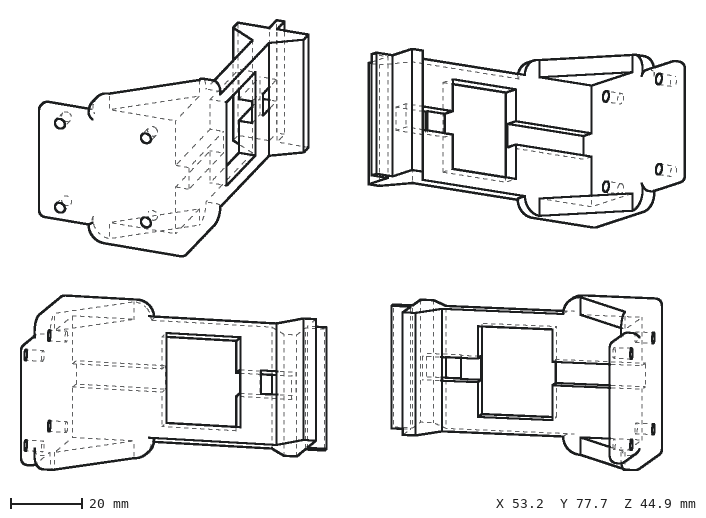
import cadquery as cq
import math

plate_length = 45.0
wall = 5.0
edge_radius = 2.0
half_width = 34.93 / 2

lobe_radius = wall
outer_half_width = half_width + lobe_radius
gusset_start = 20.0
gusset_top = 22.8
arm_inner = plate_length - wall

hole_diameter = 3.0
hole_spacing = 26.0
hole_first_x = 7.0

head_center_x = plate_length - wall / 2
head_half_length = 53.18 - head_center_x
head_start = 62.75
head_flank_start = 68.4
head_end = 72.1
tab_end = 77.65
tab_thickness = 2.4

window_start = 30.9
window_end = 52.4
window_half_width = 12.9
groove_bottom = -3.0
groove_top = 3.7
groove_depth = 4.0
slot_start = 58.3
slot_end = head_flank_start


def box(x_range, y_range, z_range):
    """Box spanning the given (low, high) ranges."""
    ranges = (x_range, y_range, z_range)
    sizes = [high - low for low, high in ranges]
    corner = tuple(low for low, high in ranges)
    return cq.Workplane("XY").box(*sizes, centered=False).translate(corner)


def narrow_plate():
    """Plate end, rounded on every edge except where it enters the corner."""
    plate = box((0, gusset_start + edge_radius), (0, wall), (-half_width, half_width))
    return plate.edges("|X or <X").fillet(edge_radius)


def lobed_slab(plane, outer_end, lobe_center):
    """Slab one wall thick from outer_end to lobe_center, ending in two half-round lobes."""
    lobe_tip = lobe_center + math.copysign(lobe_radius, lobe_center - outer_end)
    lobe_inner = half_width - lobe_radius
    return (
        cq.Workplane(plane)
        .moveTo(outer_end, -outer_half_width)
        .lineTo(lobe_center, -outer_half_width)
        .threePointArc((lobe_tip, -half_width), (lobe_center, -lobe_inner))
        .lineTo(lobe_center, lobe_inner)
        .threePointArc((lobe_tip, half_width), (lobe_center, outer_half_width))
        .lineTo(outer_end, outer_half_width)
        .close()
        .extrude(-wall)
    )


def bracket_corner():
    """Wide plate and arm root joined by two gussets, rounded on the outside."""
    wide_plate = lobed_slab("XZ", plate_length, gusset_start)
    arm_root = lobed_slab("YZ", 0, gusset_top).translate((plate_length, 0, 0))
    corner = wide_plate.union(arm_root)
    for bottom in (-outer_half_width, half_width):
        gusset = (
            cq.Workplane("XY", origin=(0, 0, bottom))
            .moveTo(gusset_start, 0)
            .lineTo(plate_length, 0)
            .lineTo(plate_length, gusset_top)
            .lineTo(arm_inner, gusset_top)
            .lineTo(gusset_start, wall)
            .close()
            .extrude(lobe_radius)
        )
        corner = corner.union(gusset)
    return corner.faces("<Y or >X").edges().fillet(edge_radius)


def arm():
    """Flat arm to the head, starting far enough down to fill the rounded edge of its root."""
    arm_start = gusset_top - edge_radius
    return box((arm_inner, plate_length), (arm_start, head_start), (-half_width, half_width))


def head():
    """Flared head with a thin tab on its end."""
    half_outline = [
        (wall / 2, head_start),
        (head_half_length, head_flank_start),
        (head_half_length, head_end),
        (tab_thickness / 2, head_end),
        (tab_thickness / 2, tab_end),
    ]
    mirrored = [(-x, y) for x, y in reversed(half_outline)]
    return (
        cq.Workplane("XY", origin=(head_center_x, 0, -half_width))
        .polyline(half_outline + mirrored)
        .close()
        .extrude(2 * half_width)
    )


def arm_openings():
    """Window, lengthwise groove and through slot of the arm."""
    groove_z = (groove_bottom, groove_top)
    through_x = (arm_inner, plate_length)
    window = box(through_x, (window_start, window_end), (-window_half_width, window_half_width))
    groove = box((arm_inner, arm_inner + groove_depth), (wall, slot_start), groove_z)
    slot = box(through_x, (slot_start, slot_end), groove_z)
    return window.union(groove).union(slot)


def screw_holes():
    """Square pattern of four holes through the plate."""
    pattern_center = (hole_first_x + hole_spacing / 2, wall, 0)
    return (
        cq.Workplane("XZ", origin=pattern_center)
        .rarray(hole_spacing, hole_spacing, 2, 2)
        .circle(hole_diameter / 2)
        .extrude(wall)
    )


solid_body = narrow_plate().union(bracket_corner()).union(arm()).union(head())
result = solid_body.cut(arm_openings()).cut(screw_holes())